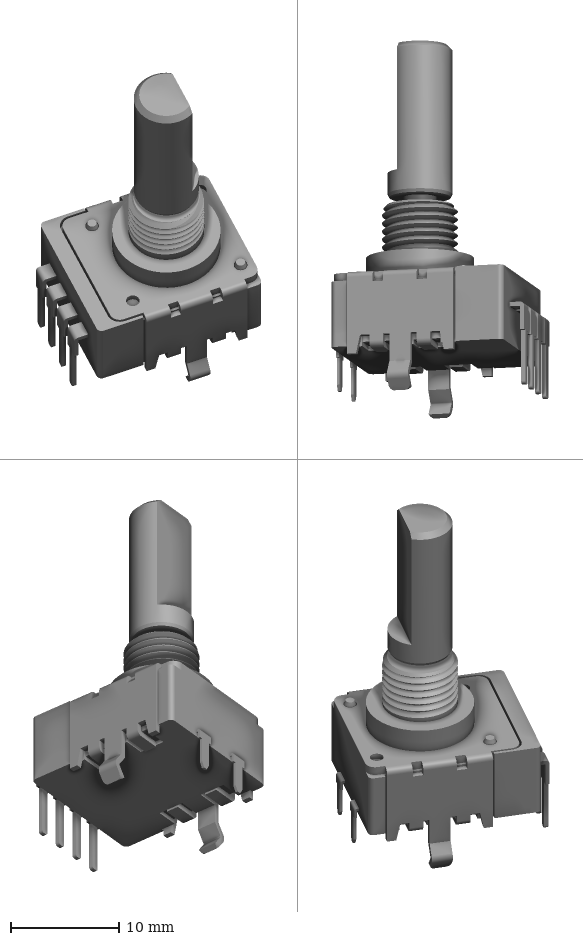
import cadquery as cq
import math


sheet = 0.55
height = 7.0
rear = 6.7
front = -9.75

housing_half_x = 7.0
housing_corner = 0.5
recess_depth = 0.83

plate_half_x = 6.47
plate_front = -7.97
plate_corner = 0.95
flange_outer = 7.25
flange_inner = flange_outer - sheet
cover_gap = flange_inner - plate_half_x
flange_half_y = 5.05
relief_y = 2.1
relief_width = 1.0
relief_depth = 1.06
skirt_bottom = -6.03
leg_bottom = -7.75
leg_tip_y = 4.18
leg_root_y = 3.8
crimp_inner_y = 1.6
crimp_outer_y = 2.9
crimp_tip_x = 4.47
crimp_bottom = -7.2
crimp_top = crimp_bottom + sheet
pocket_top = -6.57
pocket_outer_y = 3.73
pocket_inner_y = 1.1
side_relief = 0.15
flange_pocket_front = -5.25
flange_pocket_rear = 5.15

tab_half_y = 1.0
knee_reach = 8.075
knee_z = -9.985
knee_radius = 0.7
tab_angle = math.radians(36)
tab_bottom = -11.39
tab_corner = 0.5

peg_x = 4.8
peg_y = 5.4
cover_hole_diameter = 1.25
peg_base_radius = 0.57
peg_top_radius = 0.42
peg_height = 0.42

flange_radius = 5.0
flange_top = 2.25
bushing_top = 7.25
thread_radius = 3.5
thread_pitch = 0.75
thread_depth = 0.48
thread_crest = 0.06
thread_root = 0.04
groove_overshoot = 0.03
thread_start_angle = 75
thread_phase = 2.69
bushing_chamfer = 0.45

shaft_radius = 3.0
neck_radius = 1.54
shaft_bottom = 8.0
shaft_top = 22.25
flat_bottom = 10.25
flat_y = 1.5
shaft_top_chamfer = 0.5
shaft_bottom_chamfer_z = 0.3
shaft_bottom_chamfer_r = 0.15

front_pin_pitch = 2.5
front_pin_count = 4
front_pin_sheet = 0.4
front_pin_y = -11.14
front_pin_top = -3.12
front_pin_head = 1.6
front_pin_width = 0.77
front_pin_shoulder = -5.71
front_pin_bottom = -10.74
front_pin_round = 0.25

rear_pin_x = 2.5
rear_pin_sheet = 0.26
rear_pin_y = 7.13
rear_pin_top = -6.27
rear_pin_head = 1.6
rear_pin_width = 1.0
rear_pin_shoulder = -7.26
rear_pin_taper = -9.78
rear_pin_bottom = -10.32
rear_pin_tip = 0.4


def block(x0, x1, y0, y1, z0, z1):
    """Axis-aligned box between two corners."""
    return cq.Workplane("XY").box(x1 - x0, y1 - y0, z1 - z0, centered=False).translate((x0, y0, z0))


def both_sides(right_half):
    """Union of a shape on the +X side and its mirror image."""
    return right_half.union(right_half.mirror("YZ"))


def cover_plan(z0, z1):
    """Slab with the flat cover plate's rounded outline."""
    slab = block(-plate_half_x, plate_half_x, plate_front, rear, z0, z1)
    return slab.edges("|Z").fillet(plate_corner)


def make_housing():
    body = block(-housing_half_x, housing_half_x, front, rear, -height, 0)
    body = body.edges("|Z").fillet(housing_corner)

    recess = block(-flange_inner, flange_inner, plate_front - cover_gap, rear, -recess_depth, 0)
    recess = recess.edges("|Z and <Y").fillet(plate_corner + cover_gap)
    rear_clearance = block(-housing_half_x, housing_half_x, flange_pocket_rear, rear, -recess_depth, 0)
    body = body.cut(recess).cut(rear_clearance)
    body = body.union(cover_plan(-recess_depth, -sheet))

    side_pocket = block(flange_inner, housing_half_x, flange_pocket_front, flange_pocket_rear, -height, 0)
    body = body.cut(both_sides(side_pocket))

    relief = block(
        flange_inner - side_relief, flange_inner, -pocket_outer_y, pocket_outer_y, -height, skirt_bottom
    )
    body = body.cut(both_sides(relief))

    for side in (1, -1):
        y0, y1 = sorted((side * pocket_inner_y, side * pocket_outer_y))
        floor_pocket = block(crimp_tip_x, flange_inner, y0, y1, -height, pocket_top)
        body = body.cut(both_sides(floor_pocket))

    for side in (1, -1):
        peg = (
            cq.Workplane("XZ")
            .moveTo(0, -sheet)
            .lineTo(peg_base_radius, -sheet)
            .lineTo(peg_base_radius, 0)
            .lineTo(peg_top_radius, peg_height)
            .lineTo(0, peg_height)
            .close()
            .revolve(360, (0, 0, 0), (0, 1, 0))
        )
        body = body.union(peg.translate((side * peg_x, side * peg_y, 0)))
    return body


def make_snap_tab():
    """Bent tab below the middle of the +X flange."""
    lean_x = math.sin(tab_angle)
    lean_z = math.cos(tab_angle)
    knee_x = knee_reach - knee_radius
    inner_radius = knee_radius - sheet

    def knee_point(radius, angle):
        return (knee_x + radius * math.cos(angle), knee_z + radius * math.sin(angle))

    outer_start = knee_point(knee_radius, tab_angle)
    outer_end = knee_point(knee_radius, -tab_angle)
    inner_start = knee_point(inner_radius, tab_angle)
    outer_bend = (flange_outer, outer_start[1] + (outer_start[0] - flange_outer) * lean_z / lean_x)
    inner_bend = (flange_inner, inner_start[1] + (inner_start[0] - flange_inner) * lean_z / lean_x)
    outer_tip = (outer_end[0] - (outer_end[1] - tab_bottom) * lean_x / lean_z, tab_bottom)
    inner_tip = (outer_tip[0] - sheet * lean_z, outer_tip[1] + sheet * lean_x)

    strip = (
        cq.Workplane("XZ")
        .moveTo(flange_inner, skirt_bottom)
        .lineTo(flange_outer, skirt_bottom)
        .lineTo(*outer_bend)
        .lineTo(*outer_start)
        .threePointArc(knee_point(knee_radius, 0), outer_end)
        .lineTo(*outer_tip)
        .lineTo(*inner_tip)
        .lineTo(*knee_point(inner_radius, -tab_angle))
        .threePointArc(knee_point(inner_radius, 0), inner_start)
        .lineTo(*inner_bend)
        .close()
        .extrude(tab_half_y, both=True)
    )
    envelope = block(0, knee_reach, -tab_half_y, tab_half_y, tab_bottom, skirt_bottom)
    return strip.intersect(envelope.edges("|X and <Z").fillet(tab_corner))


def make_flange():
    """Side flange on +X with its rounded bend, legs, crimps and snap tab."""
    flange = block(0, flange_outer, -flange_half_y, flange_half_y, skirt_bottom, 0)
    flange = flange.edges("|Y and >X and >Z").fillet(sheet)
    flange = flange.cut(block(0, flange_inner, -flange_half_y, flange_half_y, skirt_bottom, -sheet))

    for side in (1, -1):
        leg = (
            cq.Workplane("YZ", origin=(flange_inner, 0, 0))
            .polyline(
                [
                    (side * flange_half_y, skirt_bottom),
                    (side * flange_half_y, leg_bottom),
                    (side * leg_tip_y, leg_bottom),
                    (side * leg_root_y, skirt_bottom),
                ]
            )
            .close()
            .extrude(sheet)
        )
        y0, y1 = sorted((side * crimp_inner_y, side * crimp_outer_y))
        crimp = block(crimp_tip_x, flange_outer, y0, y1, crimp_bottom, skirt_bottom)
        crimp = crimp.edges("|Y and >X and <Z").fillet(sheet)
        crimp = crimp.cut(block(crimp_tip_x, flange_inner, y0, y1, crimp_top, skirt_bottom))
        relief_mid = side * relief_y
        relief = block(
            plate_half_x,
            flange_outer,
            relief_mid - relief_width / 2,
            relief_mid + relief_width / 2,
            -relief_depth,
            0,
        )
        flange = flange.union(leg).union(crimp).cut(relief)
    return flange.union(make_snap_tab())


def make_cover():
    cover = cover_plan(-sheet, 0).union(both_sides(make_flange()))
    holes = (
        cq.Workplane("XY")
        .rect(2 * peg_x, 2 * peg_y, forConstruction=True)
        .vertices()
        .circle(cover_hole_diameter / 2)
        .extrude(-sheet)
    )
    return cover.cut(holes)


def make_thread_groove():
    """Right-hand V groove that starts above a plain band of the barrel and runs out past the bushing top."""
    groove_start = thread_phase + thread_pitch * thread_start_angle / 360
    groove_length = bushing_top + thread_pitch - groove_start
    path = cq.Wire.makeHelix(thread_pitch, groove_length, thread_radius)
    root_radius = thread_radius - thread_depth
    mouth_radius = thread_radius + groove_overshoot
    crest_half_width = (thread_pitch - thread_crest) / 2
    mouth_half_width = crest_half_width * (1 + groove_overshoot / thread_depth)
    groove = (
        cq.Workplane("XZ")
        .polyline(
            [
                (root_radius, thread_root / 2),
                (mouth_radius, mouth_half_width),
                (mouth_radius, -mouth_half_width),
                (root_radius, -thread_root / 2),
            ]
        )
        .close()
        .sweep(path, isFrenet=True)
    )
    return groove.rotate((0, 0, 0), (0, 0, 1), thread_start_angle).translate((0, 0, groove_start))


def make_bushing():
    bar = cq.Workplane("XY").circle(thread_radius).extrude(bushing_top + 2 * thread_pitch)
    barrel = cq.Workplane("XY").circle(thread_radius).extrude(bushing_top)
    barrel = barrel.faces(">Z").chamfer(bushing_chamfer)
    threaded = bar.cut(make_thread_groove()).intersect(barrel)
    collar = cq.Workplane("XY").circle(flange_radius).extrude(flange_top)
    bore = cq.Workplane("XY").circle(neck_radius).extrude(bushing_top)
    return collar.union(threaded).cut(bore)


def make_shaft():
    shaft = (
        cq.Workplane("XZ")
        .moveTo(0, 0)
        .lineTo(neck_radius, 0)
        .lineTo(neck_radius, shaft_bottom)
        .lineTo(shaft_radius - shaft_bottom_chamfer_r, shaft_bottom)
        .lineTo(shaft_radius, shaft_bottom + shaft_bottom_chamfer_z)
        .lineTo(shaft_radius, shaft_top - shaft_top_chamfer)
        .lineTo(shaft_radius - shaft_top_chamfer, shaft_top)
        .lineTo(0, shaft_top)
        .close()
        .revolve(360, (0, 0, 0), (0, 1, 0))
    )
    flat = block(-shaft_radius, shaft_radius, flat_y, shaft_radius, flat_bottom, shaft_top)
    return shaft.cut(flat)


def bent_strip(y_face, y_outer, z_top, z_bottom, thickness, width):
    """Strip that leaves a housing face level, then turns straight down with a round bend."""
    toward = math.copysign(1, y_outer - y_face)
    y_inner = y_outer - toward * thickness
    z_bend = z_top - thickness
    diagonal = thickness * math.sqrt(0.5)
    return (
        cq.Workplane("YZ")
        .moveTo(y_face, z_top)
        .lineTo(y_inner, z_top)
        .threePointArc((y_inner + toward * diagonal, z_bend + diagonal), (y_outer, z_bend))
        .lineTo(y_outer, z_bottom)
        .lineTo(y_inner, z_bottom)
        .lineTo(y_inner, z_bend)
        .lineTo(y_face, z_bend)
        .close()
        .extrude(width / 2, both=True)
    )


def make_front_pin(x):
    head = bent_strip(front, front_pin_y, front_pin_top, front_pin_shoulder, front_pin_sheet, front_pin_head)
    blade = block(
        -front_pin_width / 2,
        front_pin_width / 2,
        front_pin_y,
        front_pin_y + front_pin_sheet,
        front_pin_bottom,
        front_pin_shoulder,
    )
    blade = blade.edges("|Y and <Z").fillet(front_pin_round)
    return head.union(blade).translate((x, 0, 0))


def make_rear_pin(x):
    head = bent_strip(rear, rear_pin_y, rear_pin_top, rear_pin_shoulder, rear_pin_sheet, rear_pin_head)
    blade = (
        cq.Workplane("XZ", origin=(0, rear_pin_y, 0))
        .polyline(
            [
                (-rear_pin_width / 2, rear_pin_shoulder),
                (-rear_pin_width / 2, rear_pin_taper),
                (-rear_pin_tip / 2, rear_pin_bottom),
                (rear_pin_tip / 2, rear_pin_bottom),
                (rear_pin_width / 2, rear_pin_taper),
                (rear_pin_width / 2, rear_pin_shoulder),
            ]
        )
        .close()
        .extrude(rear_pin_sheet)
    )
    return head.union(blade).translate((x, 0, 0))


housing = make_housing()
cover = make_cover()
bushing = make_bushing()
shaft = make_shaft()

front_pin_row = (front_pin_count - 1) * front_pin_pitch
front_pins = [make_front_pin(i * front_pin_pitch - front_pin_row / 2) for i in range(front_pin_count)]
rear_pins = [make_rear_pin(side * rear_pin_x) for side in (-1, 1)]

bodies = [housing, cover, bushing, shaft, *front_pins, *rear_pins]
result = cq.Compound.makeCompound([body.solids().val() for body in bodies])